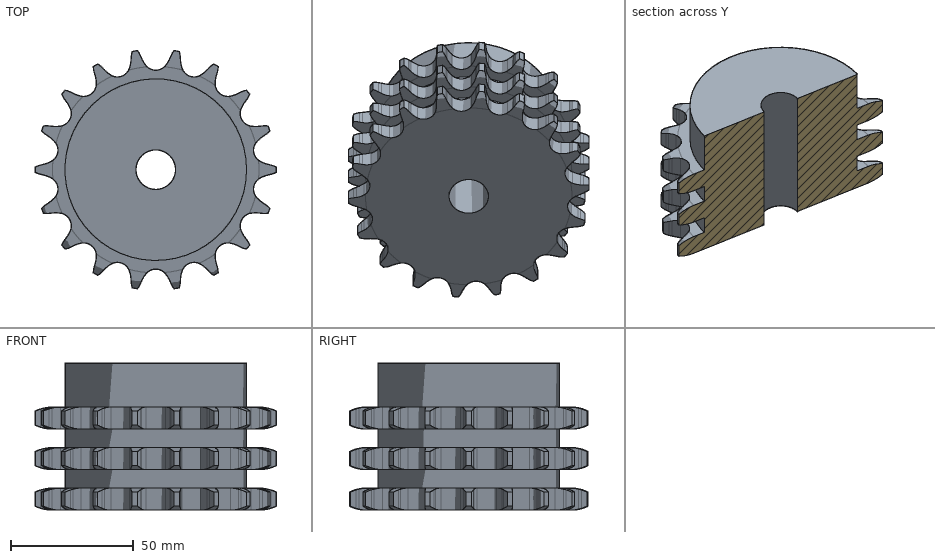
import cadquery as cq
import math


tooth_count = 18
pitch_diameter = 91.4
tip_diameter = 98.3
roller_diameter = 10.1
roller_clearance = 0.04

hub_diameter = 74.0
hub_height = 60.0
bore_diameter = 16.0

row_count = 3
row_pitch = 16.5
plate_thickness = 9.0
side_relief_start_radius = 42.1
side_relief_radius = 16.0

seating_ratio = 0.5025
working_ratio = 1.3025
working_offset_ratio = 0.8
topping_offset_ratio = 1.4

tooth_step = 360.0 / tooth_count
seating_angle = math.radians(35 + 60 / tooth_count)
working_sweep = math.radians(18 - 56 / tooth_count)
topping_angle = math.radians(17 - 64 / tooth_count)
flank_angle = seating_angle - working_sweep

pitch_radius = pitch_diameter / 2
tip_radius = tip_diameter / 2
working_offset = working_offset_ratio * roller_diameter
topping_offset = topping_offset_ratio * roller_diameter
seating_radius = seating_ratio * roller_diameter + roller_clearance
working_radius = working_ratio * roller_diameter + roller_clearance
straight_length = topping_offset * math.sin(topping_angle) - working_offset * math.sin(working_sweep)
topping_radius = (
    working_offset * math.cos(working_sweep) + topping_offset * math.cos(topping_angle) - working_radius
)


def offset(point, distance, angle):
    """Point at the given distance and direction (radians) from another point."""
    return (point[0] + distance * math.cos(angle), point[1] + distance * math.sin(angle))


def turned(point, degrees):
    """Point turned about the sprocket axis."""
    angle = math.radians(degrees)
    x, y = point
    return (x * math.cos(angle) - y * math.sin(angle), x * math.sin(angle) + y * math.cos(angle))


def flank_points():
    """Points of the left flank of a tooth gap centred on +Y, from its root to the tooth tip."""
    seat_center = (0, pitch_radius)
    root = (0, pitch_radius - seating_radius)

    seat_side = math.pi + seating_angle
    seat_middle = offset(seat_center, seating_radius, (seat_side + 1.5 * math.pi) / 2)
    seat_end = offset(seat_center, seating_radius, seat_side)

    working_center = offset(seat_end, working_radius, seating_angle)
    working_middle = offset(working_center, working_radius, seat_side - working_sweep / 2)
    working_end = offset(working_center, working_radius, math.pi + flank_angle)

    straight_end = offset(working_end, straight_length, math.pi / 2 + flank_angle)

    topping_center = offset(straight_end, topping_radius, math.pi + flank_angle)
    center_distance = math.hypot(*topping_center)
    center_direction = math.atan2(topping_center[1], topping_center[0])
    tip_turn = math.acos(
        (tip_radius**2 + center_distance**2 - topping_radius**2) / (2 * tip_radius * center_distance)
    )
    tip = offset((0, 0), tip_radius, center_direction - tip_turn)
    tip_side = math.atan2(tip[1] - topping_center[1], tip[0] - topping_center[0])
    topping_middle = offset(topping_center, topping_radius, (flank_angle + tip_side) / 2)

    return root, seat_middle, seat_end, working_middle, working_end, straight_end, topping_middle, tip


def mirrored(point):
    """Point reflected across the centre line of the tooth gap."""
    return (-point[0], point[1])


def tooth_outline():
    """Closed outline of all the teeth, traced gap by gap."""
    left_flank = flank_points()
    right_flank = [mirrored(point) for point in left_flank]
    first_tip = right_flank[-1]
    tooth_top = offset((0, 0), tip_radius, math.radians(90 + tooth_step / 2))

    outline = cq.Workplane("XY").moveTo(*first_tip)
    for gap in range(tooth_count):
        turn = gap * tooth_step

        root, seat_middle, seat_end, working_middle, working_end, straight_end, topping_middle, tip = [
            turned(point, turn) for point in right_flank
        ]
        outline = (
            outline.threePointArc(topping_middle, straight_end)
            .lineTo(*working_end)
            .threePointArc(working_middle, seat_end)
            .threePointArc(seat_middle, root)
        )

        root, seat_middle, seat_end, working_middle, working_end, straight_end, topping_middle, tip = [
            turned(point, turn) for point in left_flank
        ]
        outline = (
            outline.threePointArc(seat_middle, seat_end)
            .threePointArc(working_middle, working_end)
            .lineTo(*straight_end)
            .threePointArc(topping_middle, tip)
        )

        next_tip = turned(first_tip, turn + tooth_step)
        outline = outline.threePointArc(turned(tooth_top, turn), next_tip)
    return outline.close()


def relief_drop(radius):
    """Axial drop of the rounded plate side at a radius outside the flat."""
    reach = radius - side_relief_start_radius
    return side_relief_radius - math.sqrt(side_relief_radius**2 - reach**2)


def relieved_disc():
    """Disc with both sides rounded off towards the tooth tips."""
    middle_radius = (side_relief_start_radius + tip_radius) / 2
    middle_drop = relief_drop(middle_radius)
    tip_drop = relief_drop(tip_radius)
    return (
        cq.Workplane("XZ")
        .lineTo(side_relief_start_radius, 0)
        .threePointArc((middle_radius, middle_drop), (tip_radius, tip_drop))
        .lineTo(tip_radius, plate_thickness - tip_drop)
        .threePointArc(
            (middle_radius, plate_thickness - middle_drop),
            (side_relief_start_radius, plate_thickness),
        )
        .lineTo(0, plate_thickness)
        .close()
        .revolve(360, (0, 0, 0), (0, 1, 0))
    )


toothed_plate = tooth_outline().extrude(plate_thickness).intersect(relieved_disc())
sprocket = cq.Workplane("XY").circle(hub_diameter / 2).extrude(hub_height)
for row in range(row_count):
    sprocket = sprocket.union(toothed_plate.translate((0, 0, row * row_pitch)))

bore = cq.Workplane("XY").circle(bore_diameter / 2).extrude(hub_height)
result = sprocket.cut(bore)